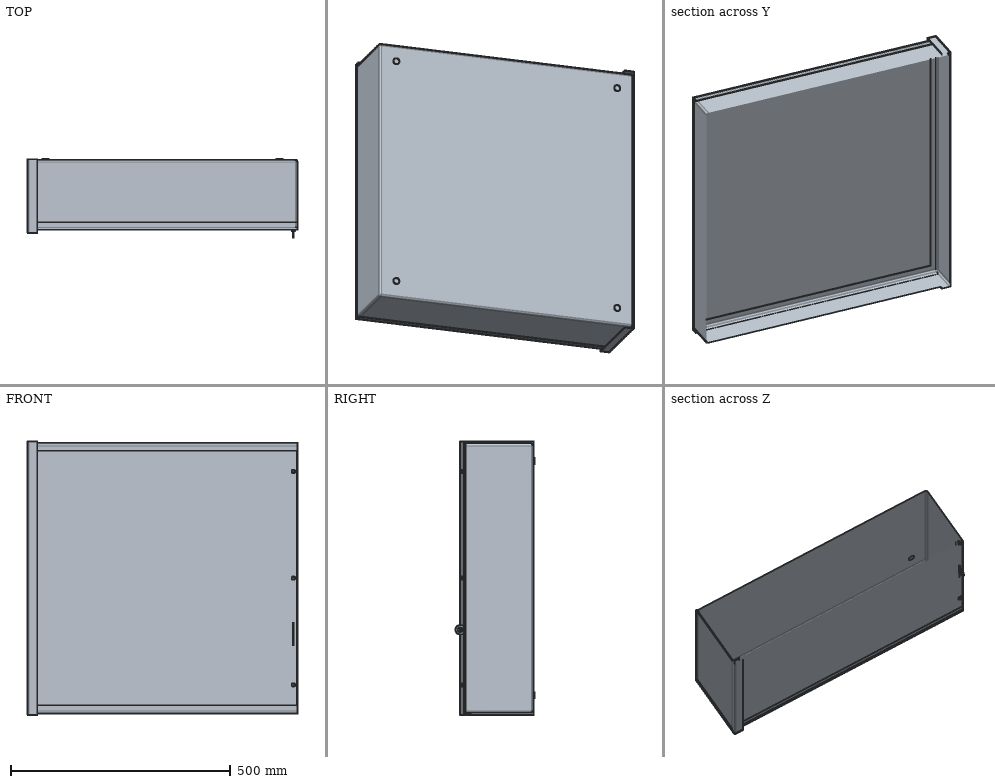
import cadquery as cq

LENGTH = 616.0
DEPTH = 181.0
HEIGHT = 625.5
SHEET = 1.5
X_MAX = LENGTH / 2
X_MIN = -X_MAX
BOX_X_MIN = X_MIN + SHEET
Y_BACK_TIP = DEPTH / 2
Y_FRONT_TIP = -DEPTH / 2

CAP_FLANGE = 22.5
CAP_BEND = 2.5
CAP_Y_BACK = 89.0
CAP_Y_FRONT = -80.0

COVER_HEIGHT = 618.5
COVER_BEND = 2.0
COVER_Y_FRONT = -72.5
COVER_FLANGE = 17.5
COVER_END_GAP = 3.0
COVER_X_MIN = BOX_X_MIN + COVER_END_GAP
LUG_SLOT_WIDTH = 2.5
LUG_SLOT_LENGTH = 32.0

BOX_HEIGHT = 614.0
BOX_CORNER = 5.0
PLAIN_FRONT_EDGE = "not (>X and <Y)"
BOSS_HEIGHT = 2.8
BOSS_DIAMETER = 14.5
BOSS_OFFSET = 267.0
BOX_Y_BACK = Y_BACK_TIP - BOSS_HEIGHT
BOX_Y_FRONT = COVER_Y_FRONT + SHEET
LIP_WIDTH = 17.0
STRIP_SETBACK = 3.0
STRIP_Y_FRONT = BOX_Y_FRONT + STRIP_SETBACK

FASTENER_X = 298.5
SCREW_SPACING = 243.0
SCREW_Z = [-SCREW_SPACING, 0, SCREW_SPACING]
SHANK_DIAMETER = 3.2
HEAD_DIAMETER = 8.0
HEAD_HEIGHT = 3.0
HEAD_ROUND = 2.0
NOTCH_WIDTH = SHANK_DIAMETER

LUG_Z = -117.5
LUG_RADIUS = 10.5
LUG_HOLE_DIAMETER = 10.0
LUG_FOOT_LENGTH = 51.0
LUG_HOLE_Y = Y_FRONT_TIP + LUG_RADIUS


def block(x_range, y_range, z_range):
    """Box between the given (low, high) limits."""
    size = [high - low for low, high in (x_range, y_range, z_range)]
    low_corner = (x_range[0], y_range[0], z_range[0])
    return cq.Workplane("XY").box(*size, centered=False).translate(low_corner)


def rod(x, y, z, diameter, length):
    """Cylinder that starts at (x, y, z) and runs toward +Y."""
    return cq.Workplane("XZ", origin=(x, y, z)).circle(diameter / 2).extrude(-length)


def symmetric(size):
    return (-size / 2, size / 2)


def make_box():
    """Rounded hollow box, open at the front inside a lip along -X and both Z sides."""
    box = block((BOX_X_MIN, X_MAX), (BOX_Y_FRONT, BOX_Y_BACK), symmetric(BOX_HEIGHT))
    box = box.edges(PLAIN_FRONT_EDGE).fillet(BOX_CORNER)
    cavity = block(
        (BOX_X_MIN + SHEET, X_MAX - SHEET),
        (BOX_Y_FRONT + SHEET, BOX_Y_BACK - SHEET),
        symmetric(BOX_HEIGHT - 2 * SHEET),
    )
    opening_height = BOX_HEIGHT - 2 * LIP_WIDTH
    opening = block(
        (BOX_X_MIN + LIP_WIDTH, X_MAX - SHEET),
        (BOX_Y_FRONT, BOX_Y_FRONT + SHEET),
        symmetric(opening_height),
    )
    box = box.cut(cavity.edges(PLAIN_FRONT_EDGE).fillet(BOX_CORNER - SHEET)).cut(opening)

    strip = block(
        (X_MAX - LIP_WIDTH, X_MAX - SHEET / 2),
        (STRIP_Y_FRONT, STRIP_Y_FRONT + SHEET),
        symmetric(BOX_HEIGHT - 2 * BOX_CORNER),
    )
    box = box.union(strip)
    for z in SCREW_Z:
        box = box.cut(rod(FASTENER_X, STRIP_Y_FRONT, z, SHANK_DIAMETER, SHEET))

    for x in (-BOSS_OFFSET, BOSS_OFFSET):
        for z in (-BOSS_OFFSET, BOSS_OFFSET):
            box = box.union(rod(x, BOX_Y_BACK - SHEET, z, BOSS_DIAMETER, SHEET + BOSS_HEIGHT))
    return box


def make_cap():
    """End plate with flanges along the front and both Z sides, open toward +X and +Y."""
    cap = block((X_MIN, X_MIN + CAP_FLANGE), (CAP_Y_FRONT, CAP_Y_BACK), symmetric(HEIGHT))
    cap = cap.edges("(<X and (not >Y)) or (|X and <Y)").fillet(CAP_BEND)
    return cap.faces(">X or >Y").shell(-SHEET)


def make_cover():
    """Front sheet with a rearward flange along both Z sides, open at both X ends."""
    y_range = (COVER_Y_FRONT, COVER_Y_FRONT + COVER_FLANGE)
    cover = block((COVER_X_MIN, X_MAX), y_range, symmetric(COVER_HEIGHT))
    cover = cover.edges("|X and <Y").fillet(COVER_BEND)
    cover = cover.faces("<X or >X or >Y").shell(-SHEET)

    sheet_y = (COVER_Y_FRONT, COVER_Y_FRONT + SHEET)
    for z in SCREW_Z:
        notch = block((FASTENER_X, X_MAX), sheet_y, (z - NOTCH_WIDTH / 2, z + NOTCH_WIDTH / 2))
        notch = notch.union(rod(FASTENER_X, COVER_Y_FRONT, z, NOTCH_WIDTH, SHEET))
        cover = cover.cut(notch)
    lug_slot = block(
        (FASTENER_X - LUG_SLOT_WIDTH / 2, FASTENER_X + LUG_SLOT_WIDTH / 2),
        sheet_y,
        (LUG_Z - LUG_SLOT_LENGTH / 2, LUG_Z + LUG_SLOT_LENGTH / 2),
    )
    return cover.cut(lug_slot)


def make_screw(z):
    """Round-headed screw whose shank reaches through the cover notch into the box strip."""
    head = rod(FASTENER_X, COVER_Y_FRONT - HEAD_HEIGHT, z, HEAD_DIAMETER, HEAD_HEIGHT)
    head = head.faces("<Y").edges().fillet(HEAD_ROUND)
    shank_length = STRIP_Y_FRONT + SHEET - COVER_Y_FRONT
    return head.union(rod(FASTENER_X, COVER_Y_FRONT, z, SHANK_DIAMETER, shank_length))


def make_lug():
    """Round-ended plate with a padlock hole, on a longer foot between the cover and box strip."""
    x_range = (FASTENER_X - SHEET / 2, FASTENER_X + SHEET / 2)
    plate = (
        cq.Workplane("YZ", origin=(x_range[0], 0, LUG_Z))
        .moveTo(STRIP_Y_FRONT, -LUG_RADIUS)
        .lineTo(LUG_HOLE_Y, -LUG_RADIUS)
        .threePointArc((Y_FRONT_TIP, 0), (LUG_HOLE_Y, LUG_RADIUS))
        .lineTo(STRIP_Y_FRONT, LUG_RADIUS)
        .close()
        .moveTo(LUG_HOLE_Y, 0)
        .circle(LUG_HOLE_DIAMETER / 2)
        .extrude(SHEET)
    )
    foot_top = LUG_Z + LUG_SLOT_LENGTH / 2
    foot = block(x_range, (BOX_Y_FRONT, STRIP_Y_FRONT), (foot_top - LUG_FOOT_LENGTH, foot_top))
    return plate.union(foot)


enclosure_box = make_box()
drip_cap = make_cap()
cover = make_cover()
screws = [make_screw(z) for z in SCREW_Z]
lug = make_lug()

result = cq.Compound.makeCompound(
    [enclosure_box.val(), drip_cap.val(), cover.val(), *[screw.val() for screw in screws], lug.val()]
)